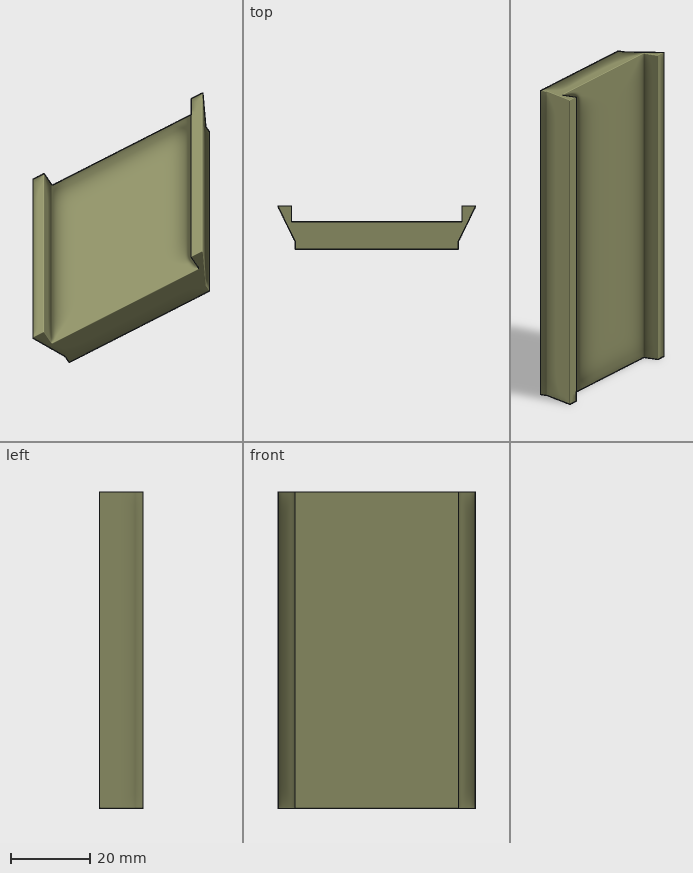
import cadquery as cq

LENGTH = 80.0
DEPTH = 11.0
BACK_WIDTH = 50.1
FRONT_WIDTH = 41.28
FRONT_STEP_DEPTH = 2.0
CHANNEL_WIDTH = 43.0
CHANNEL_DEPTH = 4.0
EDGE_RADIUS = 0.2

half_back = BACK_WIDTH / 2
half_front = FRONT_WIDTH / 2
half_channel = CHANNEL_WIDTH / 2
channel_floor = DEPTH - CHANNEL_DEPTH


def make_half_profile():
    """Right half of the cross-section, with the front face on Y = 0."""
    return (
        cq.Workplane("XY")
        .lineTo(half_front, 0)
        .lineTo(half_front, FRONT_STEP_DEPTH)
        .lineTo(half_back, DEPTH)
        .lineTo(half_channel, DEPTH)
        .lineTo(half_channel, channel_floor)
        .lineTo(0, channel_floor)
    )


def make_sharp_body():
    """Full symmetric section extruded along Z."""
    return make_half_profile().mirrorY().extrude(LENGTH)


def round_edges(body):
    """Round every edge of the body, the inside corners included."""
    return body.edges().fillet(EDGE_RADIUS)


result = round_edges(make_sharp_body())